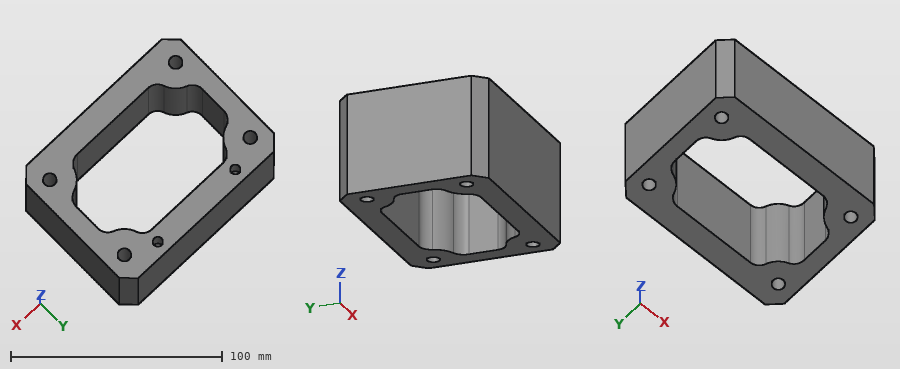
import cadquery as cq
import math

length = 101.6
width = 76.2
height = 50.8
long_wall = 12.7
end_wall = 0.75 * long_wall
corner_chamfer = long_wall / 2

cavity_length = length - 2 * end_wall
cavity_width = width - 2 * long_wall
boss_radius = 12.7
blend_radius = 6.4

screw_hole_diameter = 6.4

blind_hole_diameter = 4.8
blind_hole_depth = 12.7
drill_point_angle = 118.0
blind_hole_spacing = length / 2
blind_hole_y = (width - long_wall) / 2


def make_block():
    block = cq.Workplane("XY").box(length, width, height, centered=(True, True, False))
    return block.edges("|Z").chamfer(corner_chamfer)


def make_cavity():
    bosses = (
        cq.Workplane("XY")
        .rect(cavity_length, cavity_width, forConstruction=True)
        .vertices()
        .circle(boss_radius)
        .extrude(height)
    )
    cavity = cq.Workplane("XY").rect(cavity_length, cavity_width).extrude(height).cut(bosses)
    return cavity.edges("|Z").fillet(blend_radius)


def make_screw_holes():
    return (
        cq.Workplane("XY")
        .rect(cavity_length, cavity_width, forConstruction=True)
        .vertices()
        .circle(screw_hole_diameter / 2)
        .extrude(height)
    )


def make_blind_hole(x):
    radius = blind_hole_diameter / 2
    point_length = radius / math.tan(math.radians(drill_point_angle / 2))
    shoulder_z = height - blind_hole_depth
    profile = (
        cq.Workplane("XZ")
        .moveTo(0, height)
        .lineTo(radius, height)
        .lineTo(radius, shoulder_z)
        .lineTo(0, shoulder_z - point_length)
        .close()
    )
    return profile.revolve(360, (0, 0, 0), (0, 1, 0)).translate((x, blind_hole_y, 0))


result = make_block().cut(make_cavity()).cut(make_screw_holes())
for side in (-1, 1):
    result = result.cut(make_blind_hole(side * blind_hole_spacing / 2))